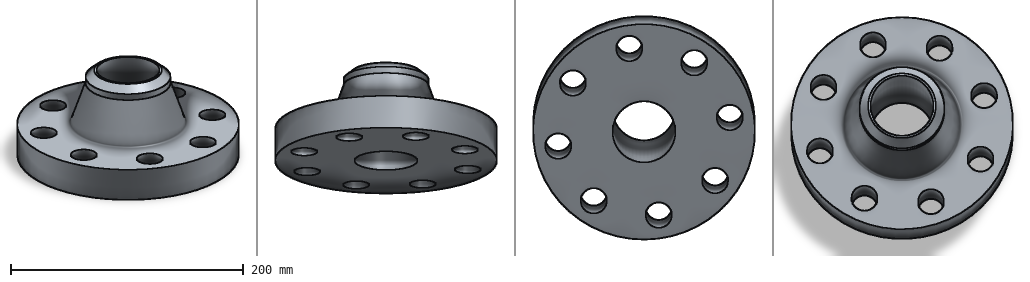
import cadquery as cq

flange_diameter = 190.5
flange_thickness = 28.5

total_height = 79.2
hub_base_diameter = 100.2
hub_root_fillet = 3.0
collar_diameter = 73.0
collar_height = 5.7
bevel_height = 6.0
weld_face_width = 2.0
bore_diameter = 53.9

bolt_hole_count = 8
bolt_circle_diameter = 149.3
bolt_hole_diameter = 22.3

bevel_bottom = total_height - bevel_height
collar_bottom = bevel_bottom - collar_height
weld_face_diameter = bore_diameter + 2 * weld_face_width


def make_flange():
    """Plain round disc standing on the XY plane."""
    return cq.Workplane("XY").circle(flange_diameter / 2).extrude(flange_thickness)


def make_neck():
    """Tapered hub with collar and weld bevel, revolved around Z on top of the disc."""
    half_section = (
        cq.Workplane("XZ")
        .moveTo(0, flange_thickness)
        .lineTo(hub_base_diameter / 2, flange_thickness)
        .lineTo(collar_diameter / 2, collar_bottom)
        .lineTo(collar_diameter / 2, bevel_bottom)
        .lineTo(weld_face_diameter / 2, total_height)
        .lineTo(0, total_height)
        .close()
    )
    return half_section.revolve(360, (0, 0, 0), (0, 1, 0))


def fillet_hub_root(body):
    """Round the inside corner where the hub meets the disc."""
    corner = cq.selectors.RadiusNthSelector(-2)
    return body.edges("%CIRCLE").edges(corner).fillet(hub_root_fillet)


def cut_bore(body):
    """Straight bore through the whole part."""
    bore = cq.Workplane("XY").circle(bore_diameter / 2).extrude(total_height)
    return body.cut(bore)


def cut_bolt_holes(body):
    """Ring of equally spaced through holes, the first one on the X axis."""
    holes = (
        cq.Workplane("XY")
        .polarArray(bolt_circle_diameter / 2, 0, 360, bolt_hole_count)
        .circle(bolt_hole_diameter / 2)
        .extrude(flange_thickness)
    )
    return body.cut(holes)


solid_body = fillet_hub_root(make_flange().union(make_neck()))
result = cut_bolt_holes(cut_bore(solid_body))